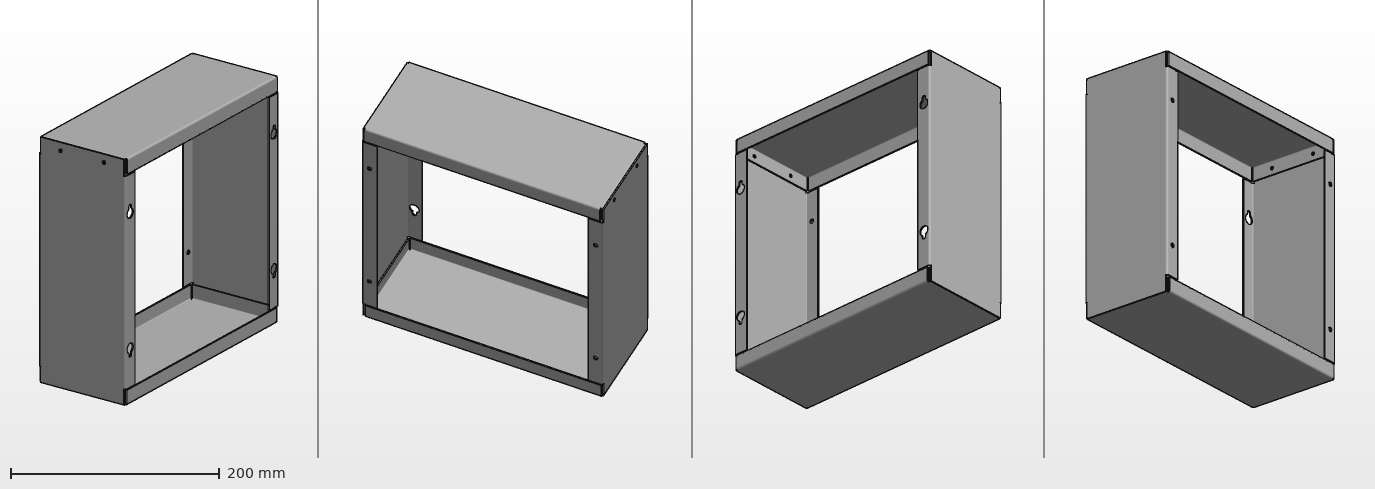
import cadquery as cq

depth = 101.6
side = 255.5875
thickness = 1.45
inner_radius = 0.75
outer_radius = inner_radius + thickness

half_depth = depth / 2
half_side = side / 2
flat_half_depth = half_depth - outer_radius

flange_width = 15.875
flange_gap = thickness
lip_outer_y = -half_side + thickness
panel_start = lip_outer_y + outer_radius
panel_end = half_side - outer_radius
wall_bend_end = half_side - outer_radius
wall_flange_end = half_side - flange_width - flange_gap

wall_screw_diameter = 3.68
lip_screw_diameter = 3.33
screw_spacing = 50.8
screw_inset = 8.73

mount_diameter = 4.32
mount_spacing = 154.0
mount_y = half_side - flange_width / 2
keyhole_diameter = 10.3
keyhole_offset = 7.0

drill_depth = 3 * thickness


def centred_box(x_size, y_range, z_range):
    """Box centred on X = 0 between the given Y and Z limits."""
    y_size = y_range[1] - y_range[0]
    z_size = z_range[1] - z_range[0]
    return cq.Workplane("XY").box(x_size, y_size, z_size).translate((0, sum(y_range) / 2, sum(z_range) / 2))


def flanged_strip(start, end, flange_start, flange_end):
    """Face on top, running along Y, with a flange bent down along each X edge."""
    flanged = (
        cq.Workplane("XZ", origin=(0, flange_end, half_side))
        .moveTo(-half_depth, -flange_width)
        .lineTo(-half_depth, -outer_radius)
        .radiusArc((-flat_half_depth, 0), outer_radius)
        .lineTo(flat_half_depth, 0)
        .radiusArc((half_depth, -outer_radius), outer_radius)
        .lineTo(half_depth, -flange_width)
        .lineTo(half_depth - thickness, -flange_width)
        .lineTo(half_depth - thickness, -outer_radius)
        .radiusArc((flat_half_depth, -thickness), -inner_radius)
        .lineTo(-flat_half_depth, -thickness)
        .radiusArc((-half_depth + thickness, -outer_radius), -inner_radius)
        .lineTo(-half_depth + thickness, -flange_width)
        .close()
        .extrude(flange_end - flange_start)
    )
    face = centred_box(2 * flat_half_depth, (start, end), (half_side - thickness, half_side))
    return flanged.union(face)


def panel():
    return flanged_strip(panel_start, panel_end, panel_start, panel_end)


def wall():
    """Wall at +Y, from the corner bend down to the bottom; its flanges stop short of the panels."""
    strip = flanged_strip(-wall_bend_end, half_side, -wall_flange_end, wall_flange_end)
    return strip.rotate((0, 0, 0), (1, 0, 0), -90)


def corner_bend():
    """Quarter bend from the panel down to the wall at +Y."""
    bend_centre = half_side - outer_radius
    return (
        cq.Workplane("YZ", origin=(-flat_half_depth, bend_centre, bend_centre))
        .moveTo(0, outer_radius)
        .radiusArc((outer_radius, 0), outer_radius)
        .lineTo(inner_radius, 0)
        .radiusArc((0, inner_radius), -inner_radius)
        .close()
        .extrude(2 * flat_half_depth)
    )


def lip():
    """Quarter bend and tongue that lie against the inside of the other sheet's wall."""
    bend = corner_bend().mirror("XZ").translate((0, thickness, 0))
    tongue = centred_box(
        2 * flat_half_depth,
        (lip_outer_y, lip_outer_y + thickness),
        (half_side - flange_width, half_side - outer_radius),
    )
    return bend.union(tongue)


def screw_holes(diameter):
    return (
        cq.Workplane("XZ", origin=(0, -half_side, half_side - screw_inset))
        .rarray(screw_spacing, 1, 2, 1)
        .circle(diameter / 2)
        .extrude(drill_depth, both=True)
    )


def mount_holes():
    return (
        cq.Workplane("YZ", origin=(-half_depth, mount_y, 0))
        .rarray(1, mount_spacing, 1, 2)
        .circle(mount_diameter / 2)
        .extrude(drill_depth, both=True)
    )


def keyhole(end_sign):
    """Keyhole whose narrow end is in line with a mounting hole and whose wide end faces mid-height."""
    narrow_z = end_sign * mount_spacing / 2
    wide_z = narrow_z - end_sign * keyhole_offset
    slot_centre = (narrow_z + wide_z) / 2
    flange = cq.Workplane("YZ", origin=(half_depth, mount_y, 0))
    wide = flange.center(0, wide_z).circle(keyhole_diameter / 2).extrude(drill_depth, both=True)
    slot = (
        flange.center(0, slot_centre)
        .slot2D(keyhole_offset + mount_diameter, mount_diameter, 90)
        .extrude(drill_depth, both=True)
    )
    return wide.union(slot)


def bent_sheet():
    sheet = panel().union(corner_bend()).union(wall()).union(lip()).cut(mount_holes())
    for end_sign in (-1, 1):
        sheet = sheet.cut(keyhole(end_sign))
    return sheet


upper_sheet = bent_sheet().cut(screw_holes(lip_screw_diameter))
lower_sheet = bent_sheet().rotate((0, 0, 0), (1, 0, 0), 180).cut(screw_holes(wall_screw_diameter))

result = cq.Compound.makeCompound([upper_sheet.solids().val(), lower_sheet.solids().val()])